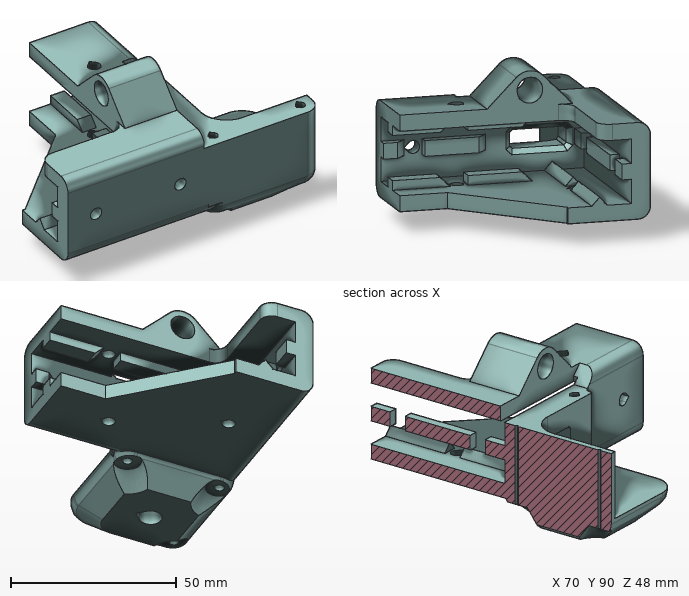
import cadquery as cq
import math

PROFILE = 20.0
WALL = 5.0
SIDE_WALL = 6.0
LENGTH_X = 70.0
FRONT_TO_BACK = 55.0
HEIGHT = PROFILE + 2 * WALL
EDGE_R = 4.0

FLOOR_Z = WALL
CEILING_Z = WALL + PROFILE
MID_Z = HEIGHT / 2
BACK_Y = FRONT_TO_BACK - WALL
FRONT_Y = BACK_Y - PROFILE
SIDE_X = LENGTH_X - SIDE_WALL
INNER_X = SIDE_X - PROFILE
ARM_X_MID_Y = BACK_Y - PROFILE / 2
ARM_Y_MID_X = SIDE_X - PROFILE / 2

RIB_WIDTH = 4.9
RIB_HEIGHT = 3.0
RIB_GAP = 5.6
RIDGE_WIDTH = 5.0
RIDGE_HEIGHT = 2.7
SCREW_D = 4.0
PLATE_SCREW_X = 21.0
BACK_SCREW_X = 10.2
SIDE_SCREW_YS = (10.0, ARM_X_MID_Y)
RIDGE_SCREW_Y = 25.0
BACK_RIB_END_X = 33.0

GUSSET_START_X = 15.0
GUSSET_END_Y = FRONT_Y - (INNER_X - GUSSET_START_X)

BOSS_X = 41.0
BOSS_LIFT = 5.0
BOSS_Z = HEIGHT + BOSS_LIFT
BOSS_R = 6.0
ROD_D = 8.0

MOTOR_X = 50.0
MOTOR_Y = 70.0
MOTOR_SIDE = 43.0
MOTOR_HOLE_PITCH = 31.0
MOTOR_SCREW_D = 3.0
SHAFT_D = 7.0
SCREW_GRIP = 4.0
SCREW_SEAT_R = 4.25
SCREW_RECESS_R = 8.7
SEAT_SIDE = 40.0
SEAT_TOP_Z = 3.0
SEAT_CORNER_R = 8.0
SEAT_FRONT_CORNER_R = 5.0
SEAT_OUTER_CORNER_R = 4.5
DOME_DEPTH = 7.0
RIM_REACH = 0.1
DOME_SIDE = 25.0
SEAT_MIN_X = MOTOR_X - SEAT_SIDE / 2
SEAT_MIN_Y = MOTOR_Y - SEAT_SIDE / 2
SEAT_MAX_Y = MOTOR_Y + SEAT_SIDE / 2
RECESS_HALF = 12.0
RECESS_R = 9.0
RECESS_LIP_R = 0.8
BLEND_R = 2.0
BLEND_EMBED = 0.5
BLEND_TURN = 40.0
MOTOR_MIN_X = MOTOR_X - MOTOR_SIDE / 2
MOTOR_MIN_Y = MOTOR_Y - MOTOR_SIDE / 2
RELIEF_X = 26.7
RELIEF_HEIGHT = 2.0

WINDOW_X = MOTOR_X
WINDOW_WIDTH = 17.8
WINDOW_HEIGHT = 5.8
WINDOW_CORNER = 0.8
FUNNEL_DEPTH = 1.6


def block(x0, x1, y0, y1, z0, z1):
    """Axis-aligned box between two opposite corners."""
    return cq.Workplane("XY").box(x1 - x0, y1 - y0, z1 - z0, centered=False).translate((x0, y0, z0))


def teardrop(plane, diameter, depth):
    """Prism of a circle with a 45 degree point toward -X, starting on the given plane."""
    r = diameter / 2
    k = r * math.sqrt(0.5)
    outline = cq.Workplane(plane).moveTo(-k, k).threePointArc((r, 0), (-k, -k))
    return outline.lineTo(-r * math.sqrt(2), 0).close().extrude(depth)


def vertical_hole(x, y, z0, z1, diameter):
    return teardrop("XY", diameter, z1 - z0).translate((x, y, z0))


def bracket_block():
    """Solid block of the bracket with its long outer edges rounded."""
    body = block(0, LENGTH_X, 0, FRONT_TO_BACK, 0, HEIGHT)
    return body.edges("(>X and |Y) or (>Y and |X)").fillet(EDGE_R)


def seat_outline(z, scale):
    """Closed square around the motor axis with its own radius at each corner."""
    h = SEAT_SIDE / 2
    corners = [
        (1, -1, SEAT_FRONT_CORNER_R),
        (1, 1, SEAT_OUTER_CORNER_R),
        (-1, 1, SEAT_CORNER_R),
        (-1, -1, SEAT_FRONT_CORNER_R),
    ]
    outline = cq.Workplane("XY", origin=(MOTOR_X, MOTOR_Y, z)).moveTo(0, -h * scale)
    for sx, sy, r in corners:
        on_x_side = (sx * h * scale, sy * (h - r) * scale)
        on_y_side = (sx * (h - r) * scale, sy * h * scale)
        middle = h - r * (1 - math.sqrt(0.5))
        first, last = (on_y_side, on_x_side) if sx * sy < 0 else (on_x_side, on_y_side)
        outline = outline.lineTo(*first)
        outline = outline.threePointArc((sx * middle * scale, sy * middle * scale), last)
    return outline.close()


def motor_seat():
    """Plate under the motor with a tapering dome below it."""
    plate = seat_outline(0, 1).extrude(SEAT_TOP_Z)
    top = seat_outline(0, 1).val()
    bottom = seat_outline(-DOME_DEPTH, DOME_SIDE / SEAT_SIDE).val()
    dome = cq.Workplane(cq.Solid.makeLoft([top, bottom], True))
    rim = cq.selectors.BoxSelector((0, 0, -RIM_REACH), (2 * LENGTH_X, 2 * SEAT_MAX_Y, RIM_REACH))
    return plate.union(dome).edges(rim).fillet(EDGE_R)


def seat_wall():
    """L-shaped wall along the -Y and +X sides of the seat, up to the ceiling height."""
    wall = block(SEAT_MIN_X, LENGTH_X, SEAT_MIN_Y, SEAT_MAX_Y, SEAT_TOP_Z, CEILING_Z)
    wall = wall.edges("|Z and >X and >Y").fillet(SEAT_OUTER_CORNER_R)
    recess_x = MOTOR_X + RECESS_HALF
    recess_y = MOTOR_Y - RECESS_HALF
    recess = block(0, recess_x, recess_y, 2 * SEAT_MAX_Y, SEAT_TOP_Z, CEILING_Z)
    recess = recess.edges("|Z and >X and <Y").fillet(RECESS_R)
    return wall.cut(recess).edges("|Z").edges("<X").edges(">Y").fillet(RECESS_LIP_R)


def corner_blend():
    """Concave fillet between the arm's back and the seat's side, following the rounded bottom edge."""
    k = BLEND_R * (1 - math.sqrt(0.5))
    inside = SEAT_MIN_X + BLEND_EMBED
    start_z = EDGE_R
    profile = (
        cq.Workplane("XY", origin=(0, 0, start_z))
        .moveTo(SEAT_MIN_X - BLEND_R, FRONT_TO_BACK)
        .threePointArc((SEAT_MIN_X - k, FRONT_TO_BACK + k), (SEAT_MIN_X, FRONT_TO_BACK + BLEND_R))
        .lineTo(inside, FRONT_TO_BACK + BLEND_R)
        .lineTo(inside, FRONT_TO_BACK - BLEND_EMBED)
        .lineTo(SEAT_MIN_X - BLEND_R, FRONT_TO_BACK - BLEND_EMBED)
        .close()
        .val()
    )
    turn_y = FRONT_TO_BACK - EDGE_R
    axis_start = cq.Vector(LENGTH_X, turn_y, start_z)
    axis_end = cq.Vector(0, turn_y, start_z)
    upright = cq.Solid.extrudeLinear(profile, [], cq.Vector(0, 0, CEILING_Z - start_z))
    turned = cq.Solid.revolve(profile, [], BLEND_TURN, axis_start, axis_end)
    return cq.Workplane(upright).union(cq.Workplane(turned))


def ceiling_opening():
    """Front notch that leaves the ceiling plate as an L with rounded inner and outer corners."""
    inner_x = ARM_Y_MID_X
    k = EDGE_R * math.sqrt(0.5)
    return (
        cq.Workplane("XY", origin=(0, 0, CEILING_Z))
        .moveTo(0, FRONT_Y)
        .lineTo(inner_x - EDGE_R, FRONT_Y)
        .threePointArc((inner_x - EDGE_R + k, FRONT_Y - EDGE_R + k), (inner_x, FRONT_Y - EDGE_R))
        .lineTo(inner_x, EDGE_R)
        .threePointArc((inner_x + EDGE_R - k, EDGE_R - k), (inner_x + EDGE_R, 0))
        .lineTo(0, 0)
        .close()
        .extrude(WALL)
    )


def gusset_opening():
    """Front corner removed from the floor plate."""
    points = [(0, 0), (INNER_X, 0), (INNER_X, GUSSET_END_Y), (GUSSET_START_X, FRONT_Y), (0, FRONT_Y)]
    return cq.Workplane("XY").polyline(points).close().extrude(FLOOR_Z)


def motor_clearance():
    """Space for the motor above the ceiling height, with a 45 degree ramp on the -X side."""
    ramp = HEIGHT - CEILING_Z
    points = [
        (MOTOR_MIN_X, CEILING_Z),
        (LENGTH_X, CEILING_Z),
        (LENGTH_X, HEIGHT),
        (MOTOR_MIN_X - ramp, HEIGHT),
    ]
    depth = SEAT_MAX_Y - MOTOR_MIN_Y
    space = cq.Workplane("XZ", origin=(0, SEAT_MAX_Y, 0)).polyline(points).close().extrude(depth)
    relief = block(RELIEF_X, MOTOR_X, MOTOR_MIN_Y, BACK_Y, CEILING_Z, CEILING_Z + RELIEF_HEIGHT)
    return space.union(relief)


def rod_boss():
    """Gabled boss with a rounded top, on the ceiling plate."""
    k = BOSS_R * math.sqrt(0.5)
    top_half = BOSS_R * math.sqrt(2) + BOSS_Z - HEIGHT
    depth = MOTOR_MIN_Y - FRONT_Y
    return (
        cq.Workplane("XZ", origin=(BOSS_X, MOTOR_MIN_Y, 0))
        .moveTo(-top_half, HEIGHT)
        .lineTo(-k, BOSS_Z + k)
        .threePointArc((0, BOSS_Z + BOSS_R), (k, BOSS_Z + k))
        .lineTo(top_half, HEIGHT)
        .close()
        .extrude(depth)
    )


def rod_hole():
    rod = cq.Workplane("XZ", origin=(BOSS_X, MOTOR_MIN_Y, BOSS_Z)).circle(ROD_D / 2)
    return rod.extrude(MOTOR_MIN_Y - FRONT_Y)


def ramped_rib(start, end):
    """Rib along +X on the plane Z = 0, with a 45 degree ramp at its far end."""
    points = [(start, 0), (end, 0), (end - RIB_HEIGHT, RIB_HEIGHT), (start, RIB_HEIGHT)]
    return cq.Workplane("XZ", origin=(0, RIB_WIDTH / 2, 0)).polyline(points).close().extrude(RIB_WIDTH)


def broken_rib(screw_x, end):
    """Ramped rib from X = 0 to the given end, interrupted around a screw."""
    near = ramped_rib(0, screw_x - RIB_GAP / 2)
    far = ramped_rib(screw_x + RIB_GAP / 2, end)
    return near.union(far)


def arm_x_ribs():
    """Broken ribs of the arm along X, on the floor, the ceiling and the back wall."""
    floor_rib = broken_rib(PLATE_SCREW_X, INNER_X).translate((0, ARM_X_MID_Y, FLOOR_Z))
    ceiling_rib = floor_rib.mirror("XY", (0, 0, MID_Z))
    back_rib = broken_rib(BACK_SCREW_X, BACK_RIB_END_X).rotate((0, 0, 0), (1, 0, 0), 90)
    return floor_rib.union(ceiling_rib).union(back_rib.translate((0, BACK_Y, MID_Z)))


def side_ribs():
    """Rib along Y on the side wall, broken around its two screws."""
    z0 = MID_Z - RIB_WIDTH / 2
    rib = block(SIDE_X - RIB_HEIGHT, SIDE_X, 0, BACK_Y, z0, z0 + RIB_WIDTH)
    for y in SIDE_SCREW_YS:
        rib = rib.cut(block(0, SIDE_X, y - RIB_GAP / 2, y + RIB_GAP / 2, 0, HEIGHT))
    return rib


def floor_ridge():
    """Triangular ridge along Y on the floor, broken around its screw."""
    half = RIDGE_WIDTH / 2
    points = [(-half, 0), (half, 0), (0, RIDGE_HEIGHT)]
    ridge = cq.Workplane("XZ", origin=(ARM_Y_MID_X, BACK_Y, FLOOR_Z)).polyline(points).close().extrude(BACK_Y)
    gap = block(0, SIDE_X, RIDGE_SCREW_Y - RIB_GAP / 2, RIDGE_SCREW_Y + RIB_GAP / 2, FLOOR_Z, CEILING_Z)
    return ridge.cut(gap)


def window_outline(y, growth):
    """Rectangle with cut corners across the back wall, every side moved out by the given growth."""
    a = WINDOW_WIDTH / 2 + growth
    b = WINDOW_HEIGHT / 2 + growth
    c = WINDOW_CORNER + growth * (2 - math.sqrt(2))
    points = [
        (c - a, -b),
        (a - c, -b),
        (a, c - b),
        (a, b - c),
        (a - c, b),
        (c - a, b),
        (-a, b - c),
        (-a, c - b),
    ]
    return cq.Workplane("XZ", origin=(WINDOW_X, y, MID_Z)).polyline(points).close()


def window():
    """Opening through the back wall, funnelled at 45 degrees toward the channel."""
    throat = window_outline(MOTOR_Y, 0).extrude(MOTOR_Y - BACK_Y)
    mouth = window_outline(BACK_Y, FUNNEL_DEPTH).val()
    neck = window_outline(BACK_Y + FUNNEL_DEPTH, 0).val()
    funnel = cq.Solid.makeLoft([mouth, neck], True)
    return throat.union(cq.Workplane(funnel))


def profile_screw_holes():
    """Screw holes of both arms."""
    holes = vertical_hole(PLATE_SCREW_X, ARM_X_MID_Y, 0, HEIGHT, SCREW_D)
    holes = holes.union(vertical_hole(ARM_Y_MID_X, RIDGE_SCREW_Y, 0, FLOOR_Z, SCREW_D))
    back = teardrop("XZ", SCREW_D, WALL).translate((BACK_SCREW_X, FRONT_TO_BACK, MID_Z))
    holes = holes.union(back)
    for y in SIDE_SCREW_YS:
        hole = cq.Workplane("YZ", origin=(SIDE_X, y, MID_Z)).circle(SCREW_D / 2).extrude(SIDE_WALL)
        holes = holes.union(hole)
    return holes


def motor_holes():
    """Shaft hole and the three motor screws along the seat wall, with conical head recesses."""
    h = MOTOR_HOLE_PITCH / 2
    recess_depth = SEAT_TOP_Z + DOME_DEPTH - SCREW_GRIP
    holes = vertical_hole(MOTOR_X, MOTOR_Y, -DOME_DEPTH, SEAT_TOP_Z, SHAFT_D)
    for dx, dy in ((-h, -h), (h, -h), (h, h)):
        hole = vertical_hole(MOTOR_X + dx, MOTOR_Y + dy, -DOME_DEPTH, CEILING_Z, MOTOR_SCREW_D)
        foot = cq.Vector(MOTOR_X + dx, MOTOR_Y + dy, -DOME_DEPTH)
        recess = cq.Solid.makeCone(SCREW_RECESS_R, SCREW_SEAT_R, recess_depth, foot)
        holes = holes.union(hole).union(cq.Workplane(recess))
    return holes


body = bracket_block().union(motor_seat()).union(seat_wall()).union(corner_blend())
body = body.cut(block(0, SIDE_X, 0, BACK_Y, FLOOR_Z, CEILING_Z))
body = body.cut(ceiling_opening()).cut(gusset_opening()).cut(motor_clearance())
body = body.union(rod_boss()).union(arm_x_ribs()).union(side_ribs()).union(floor_ridge())
result = body.cut(rod_hole()).cut(window()).cut(profile_screw_holes()).cut(motor_holes())